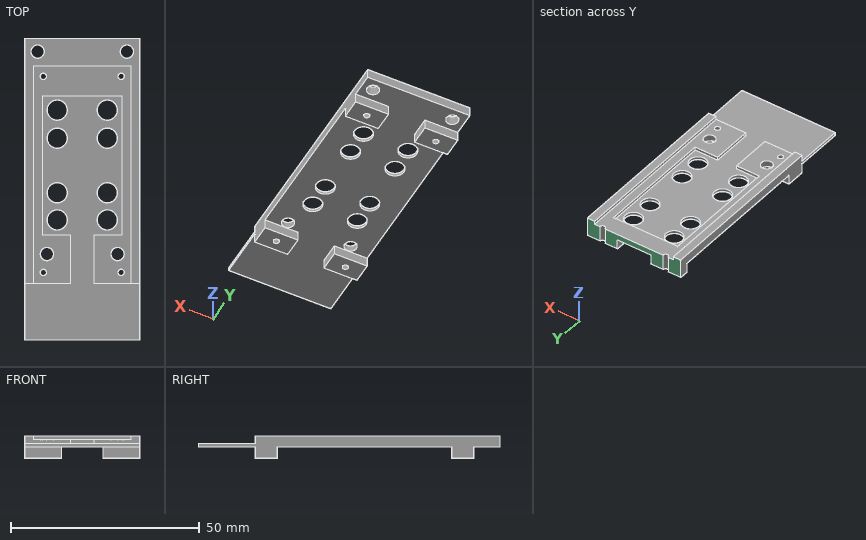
import cadquery as cq

width = 30.6
length = 80.2
height = 6.0

foot_height = height / 2
plate_thickness = height - foot_height
layer = plate_thickness / 3
tongue_length = 15.1

outer_pocket_width = 25.8
outer_pocket_end = 72.8
inner_pocket_width = 21.0
inner_pocket_start = 27.9
inner_pocket_end = 64.9
channel_width = 6.25

foot_width = 9.9
foot_length = 5.9
rear_foot_start = 67.3

window_diameter = 5.3
window_offset = 6.65
window_rows = [31.9, 39.1, 53.65, 61.1]
mount_diameter = 3.45
rear_mount_offset = 11.9
rear_mount_row = 76.7
front_mount_offset = 9.4
front_mount_row = 22.85
pin_diameter = 1.6
pin_offset = 10.35
pin_rows = [18.0, 70.1]


def block(x_size, y_start, y_end, z_start, z_end, x_centre=0.0):
    """Box given by its X width and its Y and Z limits."""
    return (
        cq.Workplane("XY", origin=(x_centre, 0, z_start))
        .center(0, (y_start + y_end) / 2)
        .rect(x_size, y_end - y_start)
        .extrude(z_end - z_start)
    )


def hole_pairs(diameter, offset, rows):
    """Full-height cylinders on both sides of the centre line in each row."""
    centres = [(side * offset, row) for side in (-1, 1) for row in rows]
    return cq.Workplane("XY").pushPoints(centres).circle(diameter / 2).extrude(height)


tongue_top = foot_height + layer
body = block(width, 0, length, foot_height, tongue_top)
body = body.union(block(width, tongue_length, length, tongue_top, height))

foot_centre = (width - foot_width) / 2
for foot_start in (tongue_length, rear_foot_start):
    for side in (-1, 1):
        foot_end = foot_start + foot_length
        foot = block(foot_width, foot_start, foot_end, 0, foot_height, side * foot_centre)
        body = body.union(foot)

outer_floor = height - layer
body = body.cut(block(outer_pocket_width, tongue_length, outer_pocket_end, outer_floor, height))
body = body.cut(block(inner_pocket_width, inner_pocket_start, inner_pocket_end, tongue_top, height))
body = body.cut(block(channel_width, tongue_length, inner_pocket_start, tongue_top, height))

body = body.cut(hole_pairs(window_diameter, window_offset, window_rows))
body = body.cut(hole_pairs(mount_diameter, rear_mount_offset, [rear_mount_row]))
body = body.cut(hole_pairs(mount_diameter, front_mount_offset, [front_mount_row]))
body = body.cut(hole_pairs(pin_diameter, pin_offset, pin_rows))

result = body